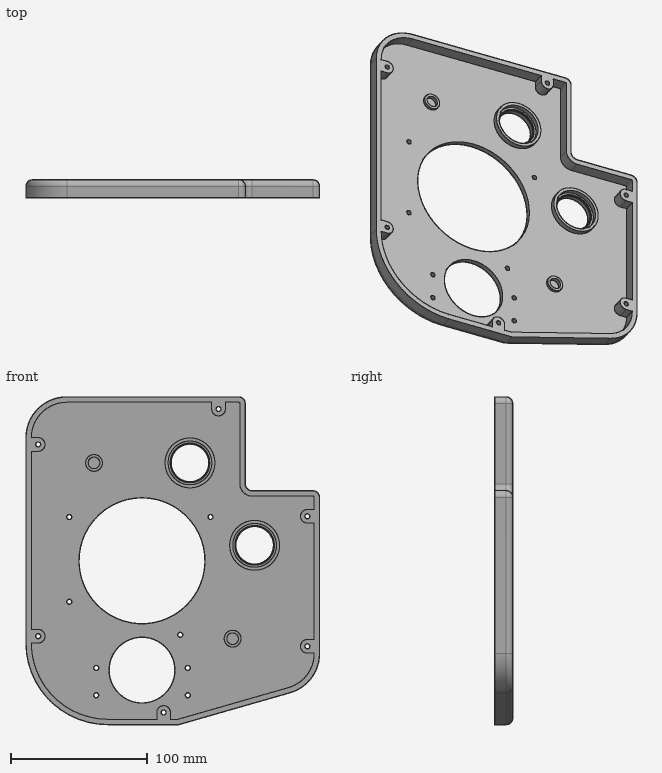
import cadquery as cq
import math


left_x = -85.0
right_x = 130.0
top_z = 120.0
bottom_z = -120.0
depth = 13.25
floor_thickness = 4.0
wall_thickness = 4.0
back_edge_radius = 5.0

notch_x = 75.6
notch_z = 51.3
slope_start_x = 26.8
slope_angle = 16.0
upper_left_radius = 30.0
lower_left_radius = 60.0
lower_right_radius = 30.0
small_corner_radius = 5.0

rim_y = 0.0
back_y = depth
floor_y = back_y - floor_thickness

openings = [(0.0, 0.0, 92.0), (0.0, -80.0, 48.0)]

small_hole_diameter = 3.5
plate_holes = [(-53.2, 32.0), (50.2, 32.0), (-53.2, -30.0)]
lower_hole_x = 33.5
lower_hole_upper_z = -78.4
lower_hole_lower_z = -98.4
lower_holes = [
    (-lower_hole_x, lower_hole_upper_z),
    (lower_hole_x, lower_hole_upper_z),
    (-lower_hole_x, lower_hole_lower_z),
    (lower_hole_x, lower_hole_lower_z),
    (28.0, -54.2),
]

post_inset = 9.0
post_diameter = 10.0
post_hole_diameter = 3.5
post_places = [
    (left_x + post_inset, 85.1, -1, 0),
    (left_x + post_inset, -55.2, -1, 0),
    (right_x - post_inset, 32.5, 1, 0),
    (right_x - post_inset, -62.6, 1, 0),
    (56.0, top_z - post_inset, 0, 1),
    (15.8, bottom_z + post_inset, 0, -1),
]

bushing_places = [(35.1, 71.6), (82.4, 11.3)]
bushing_diameter = 36.5
bushing_height = 4.0
bushing_bore_diameter = 32.0
bushing_bore_depth = 3.5
bushing_seat_diameter = 29.0
bushing_seat_depth = 1.0
bushing_hole_diameter = 27.4

boss_places = [(-35.1, 71.6), (66.3, -57.0)]
boss_diameter = 12.3
boss_height = 2.0
boss_bore_diameter = 8.5
boss_bore_depth = 3.0


def cylinder(x, z, diameter, start_y, end_y):
    """Round bar along Y between two depth positions."""
    base = cq.Vector(x, start_y, z)
    direction = cq.Vector(0, 1, 0)
    return cq.Workplane(cq.Solid.makeCylinder(diameter / 2, end_y - start_y, base, direction))


def block(x_low, x_high, z_low, z_high, start_y, end_y):
    """Box given by its limits."""
    box = cq.Workplane("XY").box(x_high - x_low, end_y - start_y, z_high - z_low, centered=False)
    return box.translate((x_low, start_y, z_low))


def corner_edges(body, x, z):
    """Selects the edge along Y at an outline corner."""
    reach = 0.5
    low = (x - reach, rim_y - depth, z - reach)
    high = (x + reach, back_y + depth, z + reach)
    return body.edges(cq.selectors.BoxSelector(low, high))


def rounded_outline_body():
    """Solid block with the rounded cover outline."""
    slope_end_z = bottom_z + (right_x - slope_start_x) * math.tan(math.radians(slope_angle))
    corners = [
        (left_x, top_z, upper_left_radius),
        (notch_x, top_z, small_corner_radius),
        (notch_x, notch_z, small_corner_radius),
        (right_x, notch_z, small_corner_radius),
        (right_x, slope_end_z, lower_right_radius),
        (slope_start_x, bottom_z, 0),
        (left_x, bottom_z, lower_left_radius),
    ]
    outline = [(x, z) for x, z, radius in corners]
    body = cq.Workplane("XZ").polyline(outline).close().extrude(-depth)
    for x, z, radius in corners:
        if radius > 0:
            body = corner_edges(body, x, z).fillet(radius)
    return body


def cover_shell():
    """Shallow tray with a rounded back edge."""
    solid_body = rounded_outline_body()
    rim_outline = solid_body.faces("<Y").wires().toPending().workplane(origin=(0, rim_y, 0))
    pocket = rim_outline.offset2D(-wall_thickness).extrude(-floor_y, combine=False)
    return solid_body.faces(">Y").edges().fillet(back_edge_radius).cut(pocket)


def screw_post(x, z, toward_x, toward_z):
    """Round post joined to the nearby wall by a web of the same width."""
    radius = post_diameter / 2
    reach = post_inset - wall_thickness / 2
    x_ends = sorted([x - radius * abs(toward_z), x + radius * abs(toward_z) + reach * toward_x])
    z_ends = sorted([z - radius * abs(toward_x), z + radius * abs(toward_x) + reach * toward_z])
    web = block(*x_ends, *z_ends, rim_y, floor_y)
    return cylinder(x, z, post_diameter, rim_y, floor_y).union(web)


def add_screw_posts(body):
    """Adds the wall posts and drills them through."""
    for x, z, toward_x, toward_z in post_places:
        body = body.union(screw_post(x, z, toward_x, toward_z))
        body = body.cut(cylinder(x, z, post_hole_diameter, rim_y, back_y))
    return body


def cut_floor_holes(body):
    """Cuts the large openings and the small holes through the floor."""
    for x, z, diameter in openings:
        body = body.cut(cylinder(x, z, diameter, floor_y, back_y))
    for x, z in plate_holes + lower_holes:
        body = body.cut(cylinder(x, z, small_hole_diameter, floor_y, back_y))
    return body


def add_bushings(body):
    """Adds the raised rings with a bore that narrows in two steps."""
    top_y = floor_y - bushing_height
    bore_end_y = top_y + bushing_bore_depth
    seat_end_y = bore_end_y + bushing_seat_depth
    for x, z in bushing_places:
        body = body.union(cylinder(x, z, bushing_diameter, top_y, floor_y))
        body = body.cut(cylinder(x, z, bushing_bore_diameter, top_y, bore_end_y))
        body = body.cut(cylinder(x, z, bushing_seat_diameter, bore_end_y, seat_end_y))
        body = body.cut(cylinder(x, z, bushing_hole_diameter, seat_end_y, back_y))
    return body


def add_blind_bosses(body):
    """Adds the small raised rings with a blind bore."""
    top_y = floor_y - boss_height
    for x, z in boss_places:
        body = body.union(cylinder(x, z, boss_diameter, top_y, floor_y))
        body = body.cut(cylinder(x, z, boss_bore_diameter, top_y, top_y + boss_bore_depth))
    return body


result = cover_shell()
result = add_screw_posts(result)
result = cut_floor_holes(result)
result = add_bushings(result)
result = add_blind_bosses(result)